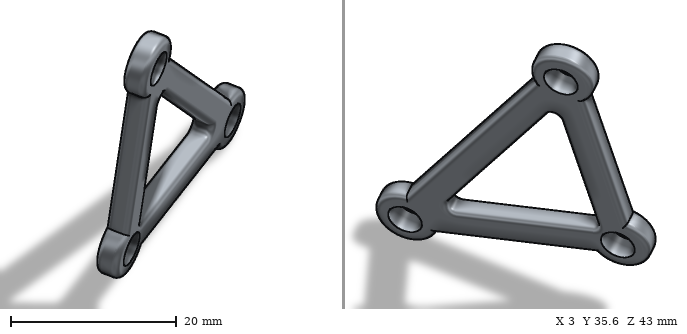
import cadquery as cq
import math

THICKNESS = 3.0
HYPOTENUSE = 40.4
TILT = 60.0
BOSS_RADIUS = 4.0
HOLE_DIAMETER = 4.4
BAR_WIDTH = 4.0
WINDOW_CORNER_RADIUS = 1.0
EDGE_ROUND = 0.8

LEG = HYPOTENUSE / math.sqrt(2)
LEG_TILT = math.radians(TILT - 45.0)
LOW_HOLE = (0.0, 0.0)
TOP_HOLE = (
    -HYPOTENUSE * math.cos(math.radians(TILT)),
    HYPOTENUSE * math.sin(math.radians(TILT)),
)
SIDE_HOLE = (-LEG * math.cos(LEG_TILT), LEG * math.sin(LEG_TILT))
HOLES = [LOW_HOLE, TOP_HOLE, SIDE_HOLE]


def plate_sketch():
    """Plane with local x along Y and local y along Z, on the -X face."""
    return cq.Workplane("YZ").workplane(offset=-THICKNESS / 2)


def bar(start, end):
    """Straight bar centred on the line between two hole centres."""
    dy = end[0] - start[0]
    dz = end[1] - start[1]
    middle = ((start[0] + end[0]) / 2, (start[1] + end[1]) / 2)
    return (
        plate_sketch()
        .center(*middle)
        .transformed(rotate=(0, 0, math.degrees(math.atan2(dz, dy))))
        .rect(math.hypot(dy, dz), BAR_WIDTH)
        .extrude(THICKNESS)
    )


frame = plate_sketch().pushPoints(HOLES).circle(BOSS_RADIUS).extrude(THICKNESS)
for index, hole in enumerate(HOLES):
    frame = frame.union(bar(hole, HOLES[(index + 1) % len(HOLES)]))

inset = BAR_WIDTH / 2
window = (
    plate_sketch()
    .polyline(HOLES)
    .close()
    .offset2D(-inset)
    .extrude(THICKNESS)
    .edges("|X")
    .fillet(WINDOW_CORNER_RADIUS)
)
solid_triangle = plate_sketch().polyline(HOLES).close().extrude(THICKNESS)
frame = frame.union(solid_triangle).cut(window).clean()

frame = frame.faces("<X or >X").edges().fillet(EDGE_ROUND)

drills = plate_sketch().pushPoints(HOLES).circle(HOLE_DIAMETER / 2).extrude(THICKNESS)
frame = frame.cut(drills)

result = frame.translate(frame.val().BoundingBox().center * -1)